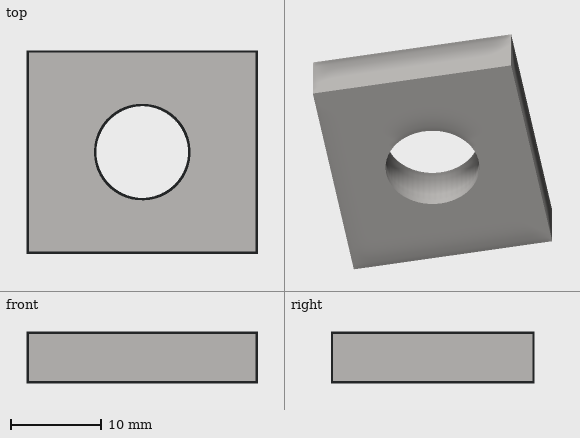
import cadquery as cq

plate_length = 25.4
plate_width = 22.35
plate_thickness = 5.5

hole_diameter = 10.41

result = (
    cq.Workplane("XY")
    .box(plate_length, plate_width, plate_thickness)
    .faces(">Z")
    .workplane()
    .hole(hole_diameter)
)